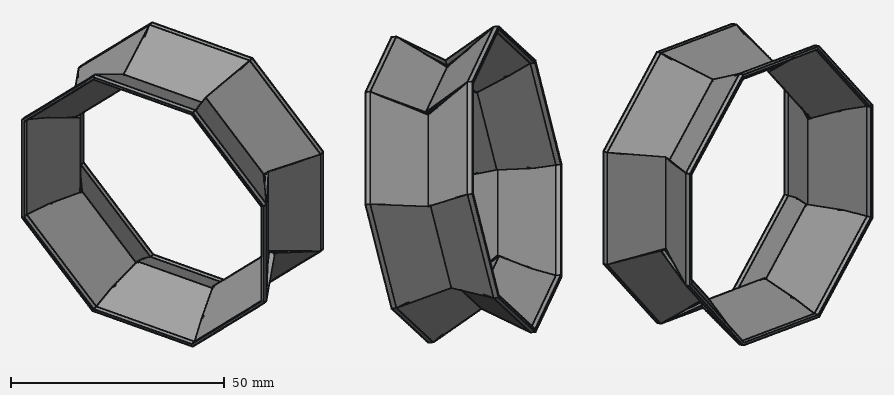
import cadquery as cq
import math

SIDES = 8
TURN = 360 / SIDES
WIDTH = 66.8
DEPTH = 26.4
RIM_WALL = 0.7
RIM_WIDTH = 1.2

WAIST_OUTER = 26.45
WAIST_INNER = 25.5

WAIST_LEFT_OUTER = -13.5
WAIST_LEFT_INNER = -12.2
WAIST_RIGHT_OUTER = 9.1
WAIST_RIGHT_INNER = 9.7
RIM_RIGHT_INNER = 14.15

rim_outer = WIDTH / 2
rim_inner = rim_outer - RIM_WALL
half_depth = DEPTH / 2
slope_end = half_depth - RIM_WIDTH
half_side = math.tan(math.radians(TURN / 2))
corner_outer = rim_outer * half_side
corner_inner = rim_inner * half_side


def octagon(apothem):
    """Flat-topped octagonal prism as thick as one rim, on the +Y end."""
    diameter = 2 * apothem / math.cos(math.radians(TURN / 2))
    return (
        cq.Workplane("XZ", origin=(0, half_depth, 0))
        .transformed(rotate=(0, 0, TURN / 2))
        .polygon(SIDES, diameter)
        .extrude(RIM_WIDTH)
    )


def section(y, outer, inner, left_outer, right_outer, left_inner, right_inner):
    """Closed cross-section of the top panel at one Y position."""
    corners = [(left_outer, outer), (right_outer, outer), (right_inner, inner), (left_inner, inner)]
    return cq.Wire.makePolygon([cq.Vector(x, y, z) for x, z in corners], close=True)


def sloping_panel():
    """Top panel from the waist out to the +Y rim, with skewed ends."""
    waist = section(
        0, WAIST_OUTER, WAIST_INNER,
        WAIST_LEFT_OUTER, WAIST_RIGHT_OUTER, WAIST_LEFT_INNER, WAIST_RIGHT_INNER,
    )
    rim = section(
        slope_end, rim_outer, rim_inner,
        -corner_outer, corner_outer, -corner_inner, RIM_RIGHT_INNER,
    )
    return cq.Workplane(cq.Solid.makeLoft([waist, rim], True))


half = octagon(rim_outer).cut(octagon(rim_inner))
panel = sloping_panel()
for index in range(SIDES):
    half = half.union(panel.rotate((0, 0, 0), (0, 1, 0), index * TURN))

result = half.union(half.mirror("XZ"))